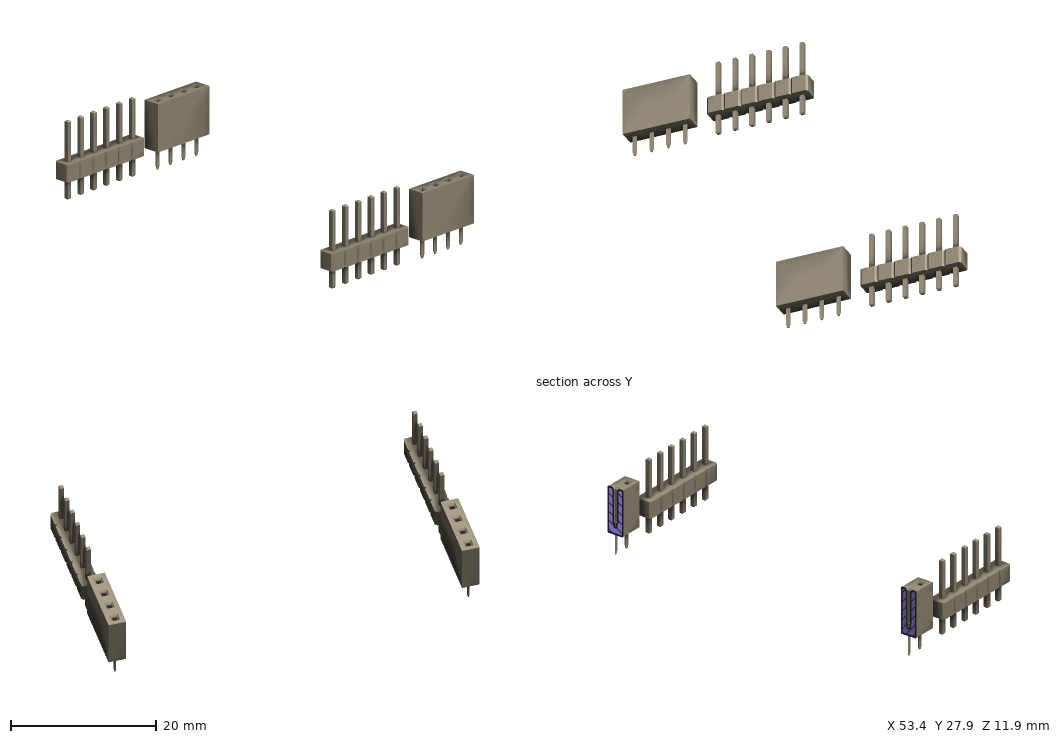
import cadquery as cq

overall_x = 53.35
overall_y = 27.9
row_spacing_in_pitches = 20
pitch = overall_x / (row_spacing_in_pitches + 1)
body_width = pitch
row_spacing = row_spacing_in_pitches * pitch

header_ways = 6
header_length = header_ways * pitch
header_height = 2.55
header_chamfer = 0.25
header_pin_side = 0.65
header_pin_above = 6.0
header_pin_below = 3.0
header_tip_inset = 0.15
header_tip_height = 0.15

socket_ways = 4
socket_length = socket_ways * pitch
socket_height = 7.1
socket_drop = 0.2
socket_leg_width = 0.65
socket_leg_thickness = 0.15
socket_leg_length = 3.1
leg_tip_width = 0.25
leg_tip_height = 0.55
mouth_side = 1.25
hole_side = 0.65
funnel_depth = 0.3
hole_depth = 5.35
recess_side = 0.4
recess_depth = 0.65

header_center_y = (header_length - overall_y) / 2
socket_center_y = (overall_y - socket_length) / 2
row_xs = [-row_spacing / 2, row_spacing / 2]


def way_positions(ways):
    """Y positions of the contacts, centred on the strip."""
    return [(i - (ways - 1) / 2) * pitch for i in range(ways)]


def pyramid(base_x, base_y, top_x, top_y, base_z, top_z):
    """Four-sided frustum between two rectangles at different heights."""
    return (
        cq.Workplane("XY", origin=(0, 0, base_z))
        .rect(base_x, base_y)
        .workplane(offset=top_z - base_z)
        .rect(top_x, top_y)
        .loft(ruled=True)
    )


def block(size_x, size_y, bottom_z, top_z):
    """Upright box centred on the Z axis."""
    return cq.Workplane("XY", origin=(0, 0, bottom_z)).rect(size_x, size_y).extrude(top_z - bottom_z)


def header_pin():
    """Square pin with a tapered tip at each end."""
    top = header_height + header_pin_above
    bottom = -header_pin_below
    side = header_pin_side
    tip = side - 2 * header_tip_inset
    shaft = block(side, side, bottom + header_tip_height, top - header_tip_height)
    upper_tip = pyramid(side, side, tip, tip, top - header_tip_height, top)
    lower_tip = pyramid(side, side, tip, tip, bottom + header_tip_height, bottom)
    return shaft.union(upper_tip).union(lower_tip)


def pin_header():
    """Row of chamfered cells, each with a pin through it, as one solid."""
    cell = block(body_width, pitch, 0, header_height).edges("|Z").chamfer(header_chamfer)
    way = cell.union(header_pin())
    header = cq.Workplane("XY")
    for y in way_positions(header_ways):
        header = header.union(way.translate((0, y, 0)))
    return header


def socket_leg():
    """Flat solder leg below the socket, narrowing across Y at its end."""
    shoulder = leg_tip_height - socket_leg_length
    thickness = socket_leg_thickness
    shaft = block(thickness, socket_leg_width, shoulder, 0)
    tip = pyramid(thickness, socket_leg_width, thickness, leg_tip_width, shoulder, -socket_leg_length)
    return shaft.union(tip)


def socket_hole():
    """Square blind hole with a funnel-shaped mouth and a smaller recess in its floor."""
    funnel_bottom = socket_height - funnel_depth
    hole_floor = socket_height - hole_depth
    shaft = block(hole_side, hole_side, hole_floor, funnel_bottom)
    funnel = pyramid(hole_side, hole_side, mouth_side, mouth_side, funnel_bottom, socket_height)
    recess = block(recess_side, recess_side, hole_floor - recess_depth, hole_floor)
    return shaft.union(funnel).union(recess)


def socket_strip():
    """Plain housing with a row of contact holes and legs, as one solid."""
    socket = block(body_width, socket_length, 0, socket_height)
    for y in way_positions(socket_ways):
        socket = socket.cut(socket_hole().translate((0, y, 0)))
        socket = socket.union(socket_leg().translate((0, y, 0)))
    return socket


headers = [pin_header().translate((x, header_center_y, 0)) for x in row_xs]
sockets = [socket_strip().translate((x, socket_center_y, -socket_drop)) for x in row_xs]

result = cq.Compound.makeCompound([body.val() for body in headers + sockets])